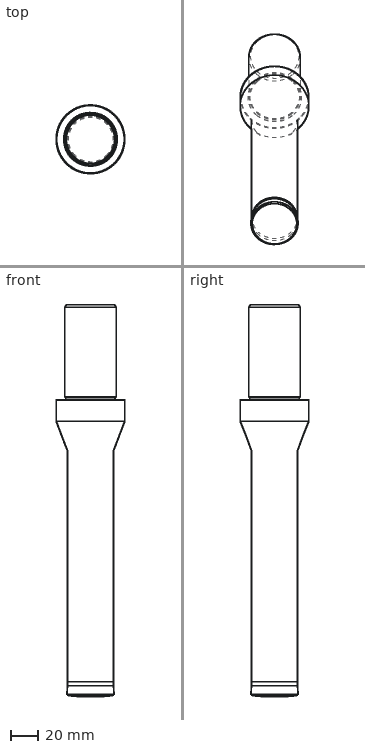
import cadquery as cq
import math

TOTAL_LENGTH = 289.56
SHANK_RADIUS = 19.05
SHANK_CHAMFER_HEIGHT = 2.0
SHANK_CHAMFER_WIDTH = 1.2

COLLAR_RADIUS = 25.4
COLLAR_TOP = 219.5
COLLAR_HEIGHT = 16.0
COLLAR_CHAMFER = 0.5
CONE_HEIGHT = 22.0
CONE_FILLET = 5.0

RELIEF_NECK_RADIUS = 18.3
RELIEF_OUTER_RADIUS = 19.8
RELIEF_DEPTH = 0.5
RELIEF_NECK_HEIGHT = 1.5
RELIEF_TAPER_HEIGHT = 0.7

ROD_RADIUS = 17.02

TIP_RADIUS = 17.46
TIP_CORNER_HEIGHT = 2.0
TIP_BEVEL = 1.0
TIP_FACE_RADIUS = 14.0
TIP_FACE_RISE = 0.6
TIP_FLAT_RADIUS = 7.0
TIP_BEND_RADIUS = 17.25
TIP_BEND_HEIGHT = 6.3
ROD_BOTTOM = 8.3
TIP_TOP = 11.3

collar_bottom = COLLAR_TOP - COLLAR_HEIGHT
cone_bottom = collar_bottom - CONE_HEIGHT
relief_neck_top = COLLAR_TOP + RELIEF_NECK_HEIGHT
relief_top = relief_neck_top + RELIEF_TAPER_HEIGHT

socket_slope = (TIP_BEND_RADIUS - ROD_RADIUS) / (ROD_BOTTOM - TIP_BEND_HEIGHT)
socket_top_radius = ROD_RADIUS - socket_slope * (TIP_TOP - ROD_BOTTOM)

cone_angle = math.atan2(COLLAR_RADIUS - ROD_RADIUS, CONE_HEIGHT)
fillet_tangent = CONE_FILLET * math.tan(cone_angle / 2)
fillet_centre_radius = ROD_RADIUS + CONE_FILLET
fillet_bottom = cone_bottom - fillet_tangent


def fillet_point(angle):
    """Point (radius, height) on the concave fillet, at an angle measured up from the rod's side."""
    return (
        fillet_centre_radius - CONE_FILLET * math.cos(angle),
        fillet_bottom + CONE_FILLET * math.sin(angle),
    )


def revolve_about_z(outline):
    """Turn a closed outline of radius and height into a solid about the Z axis."""
    return outline.close().revolve(360, (0, 0, 0), (0, 1, 0))


def make_holder():
    """Shank, relief, collar, cone and rod, with a tapered socket in the lower end."""
    shank_tip_radius = SHANK_RADIUS - SHANK_CHAMFER_WIDTH
    outline = (
        cq.Workplane("XZ")
        .moveTo(0, TIP_TOP)
        .lineTo(socket_top_radius, TIP_TOP)
        .lineTo(ROD_RADIUS, ROD_BOTTOM)
        .lineTo(ROD_RADIUS, fillet_bottom)
        .threePointArc(fillet_point(cone_angle / 2), fillet_point(cone_angle))
        .lineTo(COLLAR_RADIUS, collar_bottom)
        .lineTo(COLLAR_RADIUS, COLLAR_TOP - COLLAR_CHAMFER)
        .lineTo(COLLAR_RADIUS - COLLAR_CHAMFER, COLLAR_TOP)
        .lineTo(RELIEF_OUTER_RADIUS, COLLAR_TOP)
        .lineTo(RELIEF_OUTER_RADIUS, COLLAR_TOP - RELIEF_DEPTH)
        .lineTo(RELIEF_NECK_RADIUS, COLLAR_TOP - RELIEF_DEPTH)
        .lineTo(RELIEF_NECK_RADIUS, relief_neck_top)
        .lineTo(SHANK_RADIUS, relief_top)
        .lineTo(SHANK_RADIUS, TOTAL_LENGTH - SHANK_CHAMFER_HEIGHT)
        .lineTo(shank_tip_radius, TOTAL_LENGTH)
        .lineTo(0, TOTAL_LENGTH)
    )
    return revolve_about_z(outline)


def make_tip():
    """Flared tip with a bevelled corner and a shallow end face in two slopes, filling the socket."""
    outline = (
        cq.Workplane("XZ")
        .lineTo(TIP_FLAT_RADIUS, 0)
        .lineTo(TIP_FACE_RADIUS, TIP_FACE_RISE)
        .lineTo(TIP_RADIUS - TIP_BEVEL, TIP_CORNER_HEIGHT - TIP_BEVEL)
        .lineTo(TIP_RADIUS, TIP_CORNER_HEIGHT)
        .lineTo(TIP_BEND_RADIUS, TIP_BEND_HEIGHT)
        .lineTo(socket_top_radius, TIP_TOP)
        .lineTo(0, TIP_TOP)
    )
    return revolve_about_z(outline)


holder = make_holder()
tip = make_tip()
result = cq.Compound.makeCompound([holder.val(), tip.val()])